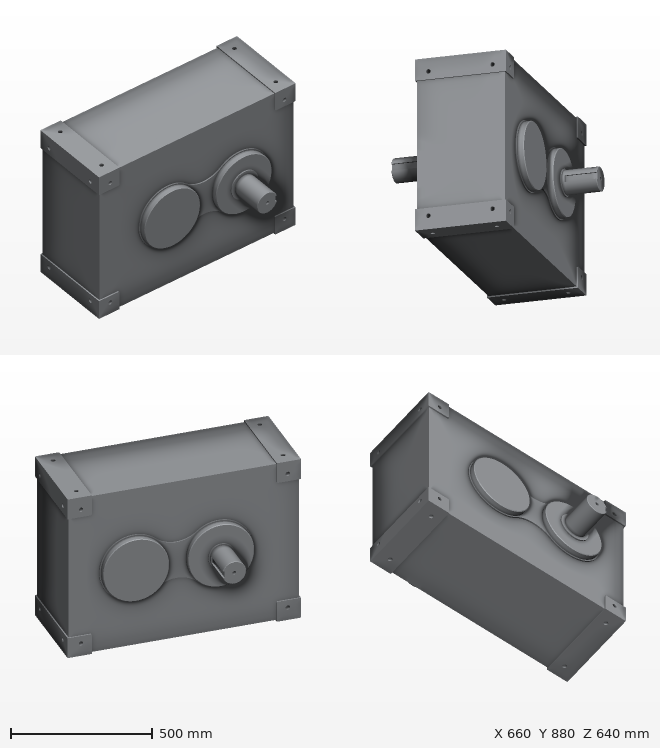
import cadquery as cq
import math

DRILL_POINT_ANGLE = 118.0

BODY_X = 330.0
RIM = 5.0
LENGTH_Y = 880.0
HEIGHT_Z = 640.0
BODY_Y = LENGTH_Y - 2 * RIM
BODY_Z = HEIGHT_Z - 2 * RIM
BAR_X = BODY_X + 2 * RIM
BAR_Y = 91.5
BAR_Z = 80.0
BAR_CORNER_RADIUS = 5.0
HOLE_INSET = 50.0
HOLE_RADIUS = 8.4
HOLE_DEPTH = 30.0

AXIS_SPACING = 320.0
AXIS_MIDDLE_Y = 30.0
FRONT_AXIS_Y = AXIS_MIDDLE_Y - AXIS_SPACING / 2
REAR_AXIS_Y = AXIS_MIDDLE_Y + AXIS_SPACING / 2
BOSS_RADIUS = 130.0
WAIST_RADIUS = 120.0
BOSS_FACE_X = BAR_X / 2

COVER_RADIUS = 125.0
COVER_THICKNESS = 25.0
COVER_CHAMFER = 3.0

SHAFT_END_X = 330.0
SHAFT_RADIUS = 45.0
SHAFT_CHAMFER = 2.0
COLLAR_RISE = 5.0
LEFT_COLLAR_RADIUS = 50.0
RIGHT_COLLAR_RADIUS = 60.0
COLLAR_LENGTH = COVER_THICKNESS + COLLAR_RISE
SHAFT_LENGTH = SHAFT_END_X - BOSS_FACE_X
KEYWAY_WIDTH = 25.0
KEYWAY_DEPTH = 9.0
KEYWAY_GAP = 10.0
CENTRE_HOLE_RADIUS = 7.0
CENTRE_HOLE_DEPTH = 26.0

PLATE_SIDE = 100.0
PLATE_CORNER_RADIUS = 5.0
PLATE_THICKNESS = 5.0

SIDES = (-1, 1)


def drilled_hole(start, direction, radius, depth):
    """Cutting body of a blind hole with a conical bottom, from start along direction."""
    tip_height = radius / math.tan(math.radians(DRILL_POINT_ANGLE / 2))
    barrel = cq.Solid.makeCylinder(radius, depth, start, direction)
    tip = cq.Solid.makeCone(radius, 0, tip_height, start + direction * depth, direction)
    return cq.Workplane(obj=barrel.fuse(tip))


def corner_bar(side_y, side_z):
    """Bar along X over one long edge of the box, with its inner edge rounded."""
    centre_y = side_y * (LENGTH_Y - BAR_Y) / 2
    centre_z = side_z * (HEIGHT_Z - BAR_Z) / 2
    bar = cq.Workplane("XY").box(BAR_X, BAR_Y, BAR_Z)
    bar = bar.edges("|X and <Y and <Z").fillet(BAR_CORNER_RADIUS)
    if side_y < 0:
        bar = bar.mirror("XZ")
    if side_z < 0:
        bar = bar.mirror("XY")
    return bar.translate((0, centre_y, centre_z))


def corner_holes(side_x, side_y, side_z):
    """Three blind holes that enter one corner of the housing along X, Y and Z."""
    corner = cq.Vector(side_x * BAR_X / 2, side_y * LENGTH_Y / 2, side_z * HEIGHT_Z / 2)
    inward = cq.Vector(-side_x, -side_y, -side_z)
    axes_crossing = corner + inward * HOLE_INSET
    directions = (
        cq.Vector(-side_x, 0, 0),
        cq.Vector(0, -side_y, 0),
        cq.Vector(0, 0, -side_z),
    )
    holes = []
    for direction in directions:
        start = axes_crossing - direction * HOLE_INSET
        holes.append(drilled_hole(start, direction, HOLE_RADIUS, HOLE_DEPTH))
    return holes


def boss_bar():
    """Waisted figure-eight boss, running through the box so it shows on both sides."""
    half_spacing = AXIS_SPACING / 2
    waist_centre_z = math.sqrt((BOSS_RADIUS + WAIST_RADIUS) ** 2 - half_spacing ** 2)
    waist_z = waist_centre_z - WAIST_RADIUS
    share = BOSS_RADIUS / (BOSS_RADIUS + WAIST_RADIUS)
    tangent_y = half_spacing * (1 - share)
    tangent_z = waist_centre_z * share
    end_y = half_spacing + BOSS_RADIUS
    return (
        cq.Workplane("YZ")
        .center(AXIS_MIDDLE_Y, 0)
        .moveTo(-tangent_y, tangent_z)
        .threePointArc((0, waist_z), (tangent_y, tangent_z))
        .threePointArc((end_y, 0), (tangent_y, -tangent_z))
        .threePointArc((0, -waist_z), (-tangent_y, -tangent_z))
        .threePointArc((-end_y, 0), (-tangent_y, tangent_z))
        .close()
        .extrude(BOSS_FACE_X, both=True)
    )


def inspection_plate():
    """Square plate let in flush with the top of the box, above the rear axis."""
    return (
        cq.Workplane("XY")
        .box(PLATE_SIDE, PLATE_SIDE, PLATE_THICKNESS)
        .edges("|Z")
        .fillet(PLATE_CORNER_RADIUS)
        .translate((0, REAR_AXIS_Y, (BODY_Z - PLATE_THICKNESS) / 2))
    )


def gearbox_housing():
    """Box with corner bars, bosses, fixing holes and the plate recess."""
    body = cq.Workplane("XY").box(BODY_X, BODY_Y, BODY_Z)
    body = body.union(boss_bar())
    for side_y in SIDES:
        for side_z in SIDES:
            body = body.union(corner_bar(side_y, side_z))
    for side_x in SIDES:
        for side_y in SIDES:
            for side_z in SIDES:
                for hole in corner_holes(side_x, side_y, side_z):
                    body = body.cut(hole)
    return body.cut(inspection_plate())


def outward_plane(side_x, axis_y):
    """Plane on a boss face, centred on a shaft axis: local X is +Y, normal points outward."""
    return cq.Plane(origin=(side_x * BOSS_FACE_X, axis_y, 0), xDir=(0, 1, 0), normal=(side_x, 0, 0))


def bearing_cover(side_x, axis_y, bore_radius=None):
    """Chamfered disc on a boss face, bored where a shaft collar passes through."""
    cover = (
        cq.Workplane(outward_plane(side_x, axis_y))
        .circle(COVER_RADIUS)
        .extrude(COVER_THICKNESS)
        .faces(">X" if side_x > 0 else "<X")
        .chamfer(COVER_CHAMFER)
    )
    if bore_radius is not None:
        bore = cq.Workplane(outward_plane(side_x, axis_y)).circle(bore_radius).extrude(COVER_THICKNESS)
        cover = cover.cut(bore)
    return cover


def output_shaft(side_x, axis_y, collar_radius):
    """Shaft with a collar, an open-ended keyway on its +Y side and a centre hole."""
    plane = outward_plane(side_x, axis_y)
    shaft = (
        cq.Workplane(plane)
        .circle(SHAFT_RADIUS)
        .extrude(SHAFT_LENGTH)
        .faces(">X" if side_x > 0 else "<X")
        .chamfer(SHAFT_CHAMFER)
    )
    collar = cq.Workplane(plane).circle(collar_radius).extrude(COLLAR_LENGTH)
    keyway_start = COLLAR_LENGTH + KEYWAY_GAP
    keyway = (
        cq.Workplane(plane)
        .workplane(offset=keyway_start)
        .center(SHAFT_RADIUS, 0)
        .rect(2 * KEYWAY_DEPTH, KEYWAY_WIDTH)
        .extrude(SHAFT_LENGTH - keyway_start)
    )
    centre_hole = drilled_hole(
        cq.Vector(side_x * SHAFT_END_X, axis_y, 0),
        cq.Vector(-side_x, 0, 0),
        CENTRE_HOLE_RADIUS,
        CENTRE_HOLE_DEPTH,
    )
    return shaft.union(collar).cut(keyway).cut(centre_hole)


housing = gearbox_housing()
plate = inspection_plate()

left_shaft = output_shaft(-1, FRONT_AXIS_Y, LEFT_COLLAR_RADIUS)
right_shaft = output_shaft(1, REAR_AXIS_Y, RIGHT_COLLAR_RADIUS)

covers = [
    bearing_cover(-1, FRONT_AXIS_Y, LEFT_COLLAR_RADIUS),
    bearing_cover(-1, REAR_AXIS_Y),
    bearing_cover(1, FRONT_AXIS_Y),
    bearing_cover(1, REAR_AXIS_Y, RIGHT_COLLAR_RADIUS),
]

result = cq.Compound.makeCompound([
    housing.val(),
    plate.val(),
    left_shaft.val(),
    right_shaft.val(),
    *[cover.val() for cover in covers],
])